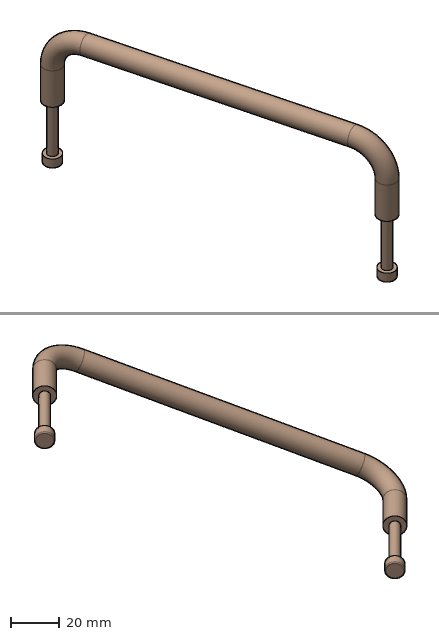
import cadquery as cq

handle_length = 170.0
handle_height = 40.0
bar_diameter = 10.0
bend_radius = 16.0

overall_height = 72.5
shank_diameter = 5.0
head_diameter = 8.5
head_height = 5.0
head_edge_fillet = 0.5

leg_x = (handle_length - bar_diameter) / 2
bar_z = handle_height - bar_diameter / 2
screw_length = overall_height - handle_height
shank_length = screw_length - head_height


def make_handle():
    """Sweep the round bar along its centre line, from one leg to the other."""
    bend_start_z = bar_z - bend_radius
    straight_end_x = leg_x - bend_radius
    centre_line = (
        cq.Workplane("XZ")
        .moveTo(-leg_x, 0)
        .lineTo(-leg_x, bend_start_z)
        .radiusArc((-straight_end_x, bar_z), bend_radius)
        .lineTo(straight_end_x, bar_z)
        .radiusArc((leg_x, bend_start_z), bend_radius)
        .lineTo(leg_x, 0)
    )
    return cq.Workplane("XY").center(-leg_x, 0).circle(bar_diameter / 2).sweep(centre_line)


def make_screw(x):
    """Cap screw hanging from the leg at x, its shank touching the leg's end face."""
    head = (
        cq.Workplane("XY", origin=(x, 0, -screw_length))
        .circle(head_diameter / 2)
        .extrude(head_height)
        .faces("<Z")
        .edges()
        .fillet(head_edge_fillet)
    )
    shank = (
        cq.Workplane("XY", origin=(x, 0, -shank_length))
        .circle(shank_diameter / 2)
        .extrude(shank_length)
    )
    return head.union(shank)


handle = make_handle()
screws = [make_screw(x) for x in (-leg_x, leg_x)]

result = cq.Compound.makeCompound([handle.val(), *[screw.val() for screw in screws]])